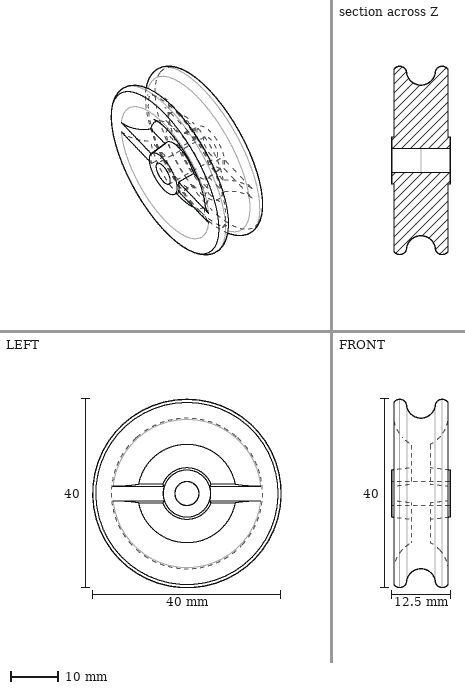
import cadquery as cq
import math

outer_radius = 20.0
half_width = 5.75
hub_half_length = 6.25
hub_radius = 5.0
bore_radius = 2.5
groove_half_width = 3.0
bead_radius = groove_half_width / 2
groove_bottom_radius = 16.0
recess_outer_radius = 15.7
recess_floor_radius = 10.45
wall_radius = 7.0
web_half_thickness = 2.0
rib_width = 3.1
draft_angle = 6.5

recess_depth = half_width - web_half_thickness
draft_slope = math.tan(math.radians(draft_angle))
rib_base_width = rib_width + 2 * recess_depth * draft_slope
hub_base_radius = hub_radius + (hub_half_length - web_half_thickness) * draft_slope

bead_x = groove_half_width + bead_radius
bead_center_radius = outer_radius - bead_radius
side_offset = half_width - bead_x
side_edge_radius = bead_center_radius + math.sqrt(bead_radius**2 - side_offset**2)
bead_inner_mid = (bead_x - bead_radius * math.sqrt(0.5), bead_center_radius + bead_radius * math.sqrt(0.5))
half_side_angle = math.asin(side_offset / bead_radius) / 2
bead_outer_mid = (
    bead_x + bead_radius * math.sin(half_side_angle),
    bead_center_radius + bead_radius * math.cos(half_side_angle),
)

recess_span = recess_outer_radius - recess_floor_radius
wall_chord = math.hypot(recess_span, recess_depth)
wall_bulge = wall_radius - math.sqrt(wall_radius**2 - wall_chord**2 / 4)
wall_mid = (
    half_width - recess_depth / 2 + wall_bulge * recess_span / wall_chord,
    (recess_outer_radius + recess_floor_radius) / 2 - wall_bulge * recess_depth / wall_chord,
)


def revolve_about_x(profile):
    return profile.close().revolve(360, (0, 0, 0), (1, 0, 0))


def mirrored(point):
    """Reflect a profile point across the wheel's centre plane."""
    x, radius = point
    return (-x, radius)


def make_wheel():
    """Grooved rim and web; profile coordinates are (X, radius)."""
    crest = (bead_x, outer_radius)
    groove_edge = (groove_half_width, bead_center_radius)
    side_edge = (half_width, side_edge_radius)
    recess_edge = (half_width, recess_outer_radius)
    floor_edge = (web_half_thickness, recess_floor_radius)
    profile = (
        cq.Workplane("XZ")
        .moveTo(-web_half_thickness, 0)
        .lineTo(*mirrored(floor_edge))
        .threePointArc(mirrored(wall_mid), mirrored(recess_edge))
        .lineTo(*mirrored(side_edge))
        .threePointArc(mirrored(bead_outer_mid), mirrored(crest))
        .threePointArc(mirrored(bead_inner_mid), mirrored(groove_edge))
        .threePointArc((0, groove_bottom_radius), groove_edge)
        .threePointArc(bead_inner_mid, crest)
        .threePointArc(bead_outer_mid, side_edge)
        .lineTo(*recess_edge)
        .threePointArc(wall_mid, floor_edge)
        .lineTo(web_half_thickness, 0)
    )
    return revolve_about_x(profile)


def make_hub():
    """Hub with drafted sides, tapering from the web to its end faces."""
    profile = cq.Workplane("XZ").polyline([
        (-hub_half_length, 0),
        (-hub_half_length, hub_radius),
        (-web_half_thickness, hub_base_radius),
        (web_half_thickness, hub_base_radius),
        (hub_half_length, hub_radius),
        (hub_half_length, 0),
    ])
    return revolve_about_x(profile)


def make_ribs():
    """Drafted ribs along Y, on both sides of the web, ending inside the rim."""
    ribs = (
        cq.Workplane("XZ")
        .polyline([
            (-half_width, -rib_width / 2),
            (-half_width, rib_width / 2),
            (-web_half_thickness, rib_base_width / 2),
            (web_half_thickness, rib_base_width / 2),
            (half_width, rib_width / 2),
            (half_width, -rib_width / 2),
            (web_half_thickness, -rib_base_width / 2),
            (-web_half_thickness, -rib_base_width / 2),
        ])
        .close()
        .extrude(recess_outer_radius, both=True)
    )
    recess_zone = cq.Workplane("YZ").circle(recess_outer_radius).extrude(half_width, both=True)
    return ribs.intersect(recess_zone)


def make_bore():
    return (
        cq.Workplane("YZ")
        .circle(bore_radius)
        .extrude(hub_half_length, both=True)
    )


result = make_wheel().union(make_hub()).union(make_ribs()).cut(make_bore())